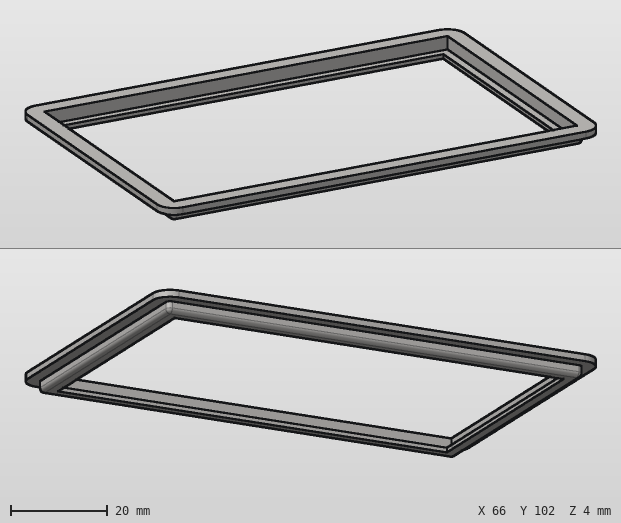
import cadquery as cq

length = 102.0
width = 66.0
height = 4.0

flange_thickness = 1.5
flange_overhang = 3.0
wall_thickness = 1.0
ledge_width = 2.0
floor_thickness = 1.0

recess_inset = flange_overhang + wall_thickness
opening_inset = recess_inset + ledge_width
flange_corner_radius = recess_inset
body_corner_radius = wall_thickness
body_bottom_radius = wall_thickness


def inset_block(inset, bottom, top):
    """Block whose four sides lie the given inset inside the overall outline."""
    return (
        cq.Workplane("XY")
        .workplane(offset=bottom)
        .rect(width - 2 * inset, length - 2 * inset)
        .extrude(top - bottom)
    )


def make_flange():
    """Thin top plate with rounded corners."""
    plate = inset_block(0, height - flange_thickness, height)
    return plate.edges("|Z").fillet(flange_corner_radius)


def make_body():
    """Block below the flange, with its corners and bottom rim rounded alike."""
    block = inset_block(flange_overhang, 0, height)
    block = block.edges("|Z").fillet(body_corner_radius)
    return block.faces("<Z").edges().fillet(body_bottom_radius)


recess = inset_block(recess_inset, floor_thickness, height)
opening = inset_block(opening_inset, 0, height)

result = make_flange().union(make_body()).cut(recess).cut(opening)